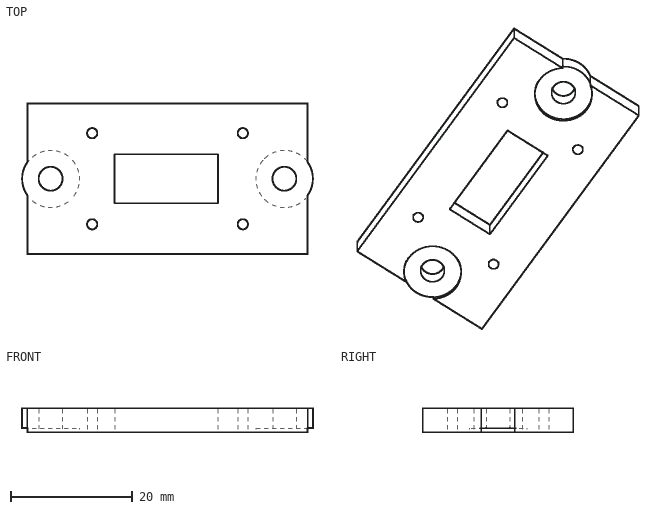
import cadquery as cq

overall_length = 47.93
plate_length = 46.15
plate_width = 24.82
plate_thickness = 4.0

mount_spacing = 38.5
mount_hole_diameter = 3.9
lug_radius = (overall_length - mount_spacing) / 2

recess_depth = 0.7

screw_spacing_x = 24.8
screw_spacing_y = 15.0
screw_hole_diameter = 1.65

window_length = 17.0
window_width = 8.0
window_offset_x = -0.22

mount_centers = [(-mount_spacing / 2, 0), (mount_spacing / 2, 0)]


def cylinders(centers, diameter, height):
    """Upright cylinders standing on Z = 0."""
    return cq.Workplane("XY").pushPoints(centers).circle(diameter / 2).extrude(height)


def plate_with_lugs():
    plate = cq.Workplane("XY").rect(plate_length, plate_width).extrude(plate_thickness)
    return plate.union(cylinders(mount_centers, 2 * lug_radius, plate_thickness))


def mount_cutter():
    """Through holes with the shallow recesses that open the underside of the lugs."""
    holes = cylinders(mount_centers, mount_hole_diameter, plate_thickness)
    recesses = cylinders(mount_centers, 2 * lug_radius, recess_depth)
    return holes.union(recesses)


def screw_hole_cutter():
    centers = [
        (side_x * screw_spacing_x / 2, side_y * screw_spacing_y / 2)
        for side_x in (-1, 1)
        for side_y in (-1, 1)
    ]
    return cylinders(centers, screw_hole_diameter, plate_thickness)


def window_cutter():
    return (
        cq.Workplane("XY")
        .center(window_offset_x, 0)
        .rect(window_length, window_width)
        .extrude(plate_thickness)
    )


result = (
    plate_with_lugs()
    .cut(mount_cutter())
    .cut(screw_hole_cutter())
    .cut(window_cutter())
)